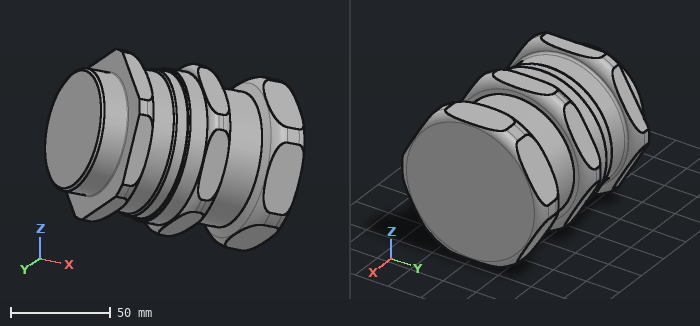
import cadquery as cq
import math


HEX_START = 14.7
HEX_END = 24.9
RING_START = 38.1
COUPLING_START = 45.4
COUPLING_HEX_START = 55.8
COUPLING_END = 68.9
NUT_START = 89.4
TOTAL_LENGTH = 110.8

ACROSS_FLATS = 80.0
CORNER_DIAMETER = 87.9
CORNER_RADIUS = CORNER_DIAMETER / 2

THREAD_DIAMETER = 63.0
ENTRY_DIAMETER = 73.3
RING_DIAMETER = 75.4
COUPLING_DIAMETER = 78.5
SLEEVE_DIAMETER = 69.4

THREAD_CHAMFER = 1.3
THREAD_ROOT_FILLET = 0.4
BARREL_ROOT_FILLET = 1.3
RING_CHAMFER = 1.1
COUPLING_CHAMFER = 0.9
ENTRY_HEX_ROUND = 5.8
COUPLING_HEX_FRONT_ROUND = 4.1
COUPLING_HEX_BACK_ROUND = 6.3
NUT_FRONT_ROUND = 8.0
NUT_BACK_ROUND = 5.1
NUT_CONE_ANGLE = math.radians(63)


def cylinder(start, end, diameter):
    """Solid round section along X."""
    return cq.Workplane("YZ", origin=(start, 0, 0)).circle(diameter / 2).extrude(end - start)


def hex_prism(start, end):
    """Hexagonal section along X with two flats facing +Z and -Z."""
    corner_to_corner = ACROSS_FLATS / math.cos(math.radians(30))
    return cq.Workplane("YZ", origin=(start, 0, 0)).polygon(6, corner_to_corner).extrude(end - start)


def round_corners(start, end):
    """Cylinder whose intersection with a hexagon trims the corners."""
    return cylinder(start, end, CORNER_DIAMETER)


def root_fillet(face_x, diameter, size, side):
    """Flared disc that fillets a round section into a flat face; side is its X direction."""
    radius = diameter / 2
    tangent_x = face_x + side * size
    return (
        cq.Workplane("XY")
        .moveTo(face_x, 0)
        .lineTo(face_x, radius + size)
        .radiusArc((tangent_x, radius), -side * size)
        .lineTo(tangent_x, 0)
        .close()
        .revolve(360, (0, 0, 0), (1, 0, 0))
    )


def make_entry():
    """Threaded stub, wrench hexagon and plain barrel."""
    stub = cylinder(0, HEX_START, THREAD_DIAMETER).faces("<X").chamfer(THREAD_CHAMFER)
    envelope = round_corners(HEX_START, HEX_END).faces(">X").edges().fillet(ENTRY_HEX_ROUND)
    hexagon = hex_prism(HEX_START, HEX_END).intersect(envelope)
    barrel = cylinder(HEX_END, RING_START, ENTRY_DIAMETER)
    thread_root = root_fillet(HEX_START, THREAD_DIAMETER, THREAD_ROOT_FILLET, -1)
    barrel_root = root_fillet(HEX_END, ENTRY_DIAMETER, BARREL_ROOT_FILLET, 1)
    return stub.union(hexagon).union(barrel).union(thread_root).union(barrel_root)


def make_ring():
    """Intermediate ring with a chamfered front edge."""
    return cylinder(RING_START, COUPLING_START, RING_DIAMETER).faces("<X").chamfer(RING_CHAMFER)


def make_coupling():
    """Round collar followed by a hexagon rounded at both ends."""
    collar = cylinder(COUPLING_START, COUPLING_HEX_START, COUPLING_DIAMETER)
    collar = collar.faces("<X").chamfer(COUPLING_CHAMFER)
    envelope = round_corners(COUPLING_HEX_START, COUPLING_END)
    envelope = envelope.faces("<X").edges().fillet(COUPLING_HEX_FRONT_ROUND)
    envelope = envelope.faces(">X").edges().fillet(COUPLING_HEX_BACK_ROUND)
    hexagon = hex_prism(COUPLING_HEX_START, COUPLING_END).intersect(envelope)
    return collar.union(hexagon)


def make_sleeve():
    """Plain cylinder between the coupling and the nut."""
    return cylinder(COUPLING_END, NUT_START, SLEEVE_DIAMETER)


def make_nut():
    """Hexagon nut with a front cone blending into its rounded corners."""
    sleeve_radius = SLEEVE_DIAMETER / 2
    cone_top_radius = CORNER_RADIUS - NUT_FRONT_ROUND * (1 - math.cos(NUT_CONE_ANGLE))
    cone_end = NUT_START + (cone_top_radius - sleeve_radius) / math.tan(NUT_CONE_ANGLE)
    round_end = cone_end + NUT_FRONT_ROUND * math.sin(NUT_CONE_ANGLE)
    envelope = (
        cq.Workplane("XY")
        .moveTo(NUT_START, 0)
        .lineTo(NUT_START, sleeve_radius)
        .lineTo(cone_end, cone_top_radius)
        .radiusArc((round_end, CORNER_RADIUS), NUT_FRONT_ROUND)
        .lineTo(TOTAL_LENGTH, CORNER_RADIUS)
        .lineTo(TOTAL_LENGTH, 0)
        .close()
        .revolve(360, (0, 0, 0), (1, 0, 0))
    )
    envelope = envelope.faces(">X").edges().fillet(NUT_BACK_ROUND)
    return hex_prism(NUT_START, TOTAL_LENGTH).intersect(envelope)


entry = make_entry()
ring = make_ring()
coupling = make_coupling()
sleeve = make_sleeve()
nut = make_nut()

result = cq.Compound.makeCompound([
    entry.val(),
    ring.val(),
    coupling.val(),
    sleeve.val(),
    nut.val(),
])